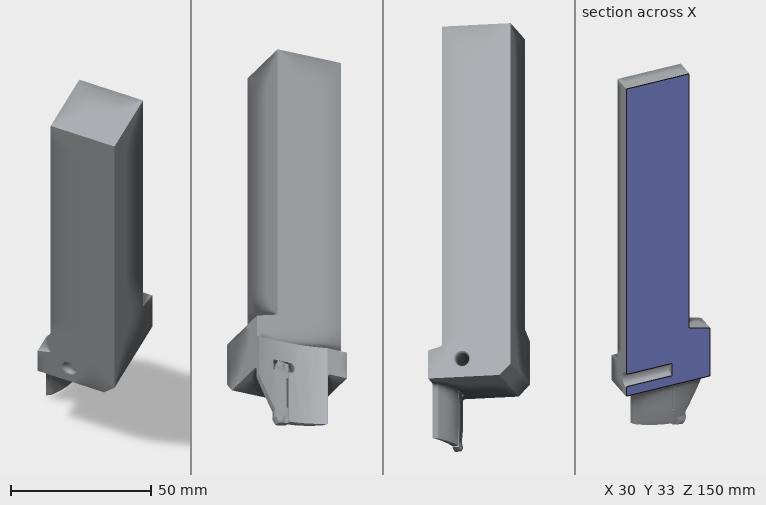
import cadquery as cq
import math

total_height = 150.0
width_x = 30.0
depth_y = 33.0
shank_size = 24.9
shank_left = width_x - shank_size

head_bottom = 21.1
shoulder_angle = math.radians(15)
side_shoulder_low = 31.5
back_shoulder_low = 41.4
shoulder_fillet = 1.2
corner_chamfer = 4.0

screw_x = 12.3
screw_z = 27.7
screw_diameter = 5.0
screw_chamfer = 0.5
screw_depth = 18.0

blade_front = 7.5
blade_bottom = 1.2
blade_front_width = 1.8
blade_front_slant = 1.2
blade_apex_y = 24.7
concave_apex_x = 4.5
convex_apex_x = 6.9
concave_radius = 34.5
convex_rise = convex_apex_x - blade_front_width
convex_run = blade_apex_y - blade_front - blade_front_slant
convex_radius = (convex_rise ** 2 + convex_run ** 2) / (2 * convex_rise)
root_fillet = 0.9
bevel_top = 17.1
bevel_angle = math.radians(60)

insert_length = 24.9
insert_bottom_y = 20.8
insert_top_y = 26.1
tip_y = 24.9
tip_setback = 0.7
rake_length = 2.5
insert_left = 4.5
insert_right = 6.7
cutting_left = 4.0
cutting_right = 7.2
cutting_length = 3.5
cutting_full_length = 2.0
corner_width = 0.5
corner_length = 0.9
cutting_taper_top = 23.5
cutting_taper_bottom = 22.3
groove_start = 6.7
groove_end = 18.5
groove_height = 0.9
groove_depth = 0.7

seat_hole_radius = 2.0
seat_hole_y = 20.5
seat_hole_z = 22.8
tip_relief_height = 0.7
tip_relief_bottom = 20.8


def arc_x(apex_x, radius, y):
    """X of a blade arc at y; the arc reaches apex_x at blade_apex_y."""
    return apex_x - radius + math.sqrt(radius ** 2 - (y - blade_apex_y) ** 2)


def arc_y(apex_x, radius, x):
    """Y of the front crossing of a blade arc with the plane at x."""
    return blade_apex_y - math.sqrt(radius ** 2 - (x - apex_x + radius) ** 2)


def extrude_along_x(sketch_points, x_start, x_end):
    """Prism with a (y, z) outline between two X planes."""
    return (
        cq.Workplane("YZ", origin=(x_start, 0, 0))
        .polyline(sketch_points)
        .close()
        .extrude(x_end - x_start)
    )


def make_shank_and_head():
    side_shoulder_high = side_shoulder_low + shank_left * math.tan(shoulder_angle)
    front_outline = [
        (0, head_bottom),
        (width_x - corner_chamfer, head_bottom),
        (width_x, head_bottom + corner_chamfer),
        (width_x, total_height),
        (shank_left, total_height),
        (shank_left, side_shoulder_high),
        (0, side_shoulder_low),
    ]
    body = cq.Workplane("XZ").polyline(front_outline).close().extrude(-depth_y)
    body = body.edges(
        cq.selectors.NearestToPointSelector((shank_left, depth_y / 2, side_shoulder_high))
    ).fillet(shoulder_fillet)

    back_shoulder_high = back_shoulder_low + (depth_y - shank_size) * math.tan(shoulder_angle)
    behind_shank = [
        (depth_y, back_shoulder_low),
        (depth_y, total_height),
        (shank_size, total_height),
        (shank_size, back_shoulder_high),
    ]
    return body.cut(extrude_along_x(behind_shank, 0, width_x))


def add_blade(body):
    middle_y = (blade_front + depth_y) / 2
    blade = (
        cq.Workplane("XY", origin=(0, 0, blade_bottom))
        .moveTo(0, blade_front)
        .lineTo(blade_front_width, blade_front + blade_front_slant)
        .threePointArc(
            (arc_x(convex_apex_x, convex_radius, middle_y), middle_y),
            (arc_x(convex_apex_x, convex_radius, depth_y), depth_y),
        )
        .lineTo(0, depth_y)
        .close()
        .extrude(head_bottom - blade_bottom)
    )
    body = body.union(blade)
    box_margin = 0.1
    root_edges = cq.selectors.BoxSelector(
        (box_margin, blade_front - box_margin, head_bottom - box_margin),
        (convex_apex_x + box_margin, depth_y - box_margin, head_bottom + box_margin),
    )
    return body.edges(root_edges).fillet(root_fillet)


def cut_concave_side(body):
    start_y = arc_y(concave_apex_x, concave_radius, 0)
    middle_y = (start_y + depth_y) / 2
    hollow = (
        cq.Workplane("XY")
        .moveTo(0, start_y)
        .threePointArc(
            (arc_x(concave_apex_x, concave_radius, middle_y), middle_y),
            (arc_x(concave_apex_x, concave_radius, depth_y), depth_y),
        )
        .lineTo(0, depth_y)
        .close()
        .extrude(back_shoulder_low)
    )
    return body.cut(hollow)


def cut_jaw_bevel(body):
    bevel_width = bevel_top / math.tan(bevel_angle)
    below_jaw = [(depth_y, 0), (depth_y, bevel_top), (depth_y - bevel_width, 0)]
    return body.cut(extrude_along_x(below_jaw, 0, width_x))


def cut_insert_seat(body):
    slot = [
        (insert_bottom_y, 0),
        (insert_top_y, 0),
        (insert_top_y, tip_relief_bottom),
        (insert_top_y + tip_relief_height, tip_relief_bottom),
        (insert_top_y + tip_relief_height, insert_length),
        (insert_bottom_y, insert_length),
    ]
    relief_hole = (
        cq.Workplane("YZ")
        .center(seat_hole_y, seat_hole_z)
        .circle(seat_hole_radius)
        .extrude(cutting_right)
    )
    return body.cut(extrude_along_x(slot, 0, cutting_right)).cut(relief_hole)


def cut_screw_hole(body):
    radius = screw_diameter / 2
    mouth_radius = radius + screw_chamfer
    hole = (
        cq.Workplane("XY")
        .polyline(
            [
                (0, 0),
                (mouth_radius, 0),
                (radius, screw_chamfer),
                (radius, screw_depth),
                (0, screw_depth),
            ]
        )
        .close()
        .revolve(360, (0, 0), (0, 1))
        .translate((screw_x, 0, screw_z))
    )
    return body.cut(hole)


def make_holder():
    body = add_blade(make_shank_and_head())
    body = cut_concave_side(body)
    body = cut_jaw_bevel(body)
    body = cut_insert_seat(body)
    return cut_screw_hole(body)


def make_cutting_end_envelope():
    """Wide end around the lower tip, tapering to the insert body upward and toward its lower edge."""
    across = (
        cq.Workplane("XY")
        .polyline(
            [
                (insert_left, cutting_taper_bottom),
                (insert_right, cutting_taper_bottom),
                (cutting_right, cutting_taper_top),
                (cutting_right, insert_top_y),
                (cutting_left, insert_top_y),
                (cutting_left, cutting_taper_top),
            ]
        )
        .close()
        .extrude(cutting_length)
    )
    along = (
        cq.Workplane("XZ")
        .polyline(
            [
                (cutting_left + corner_width, 0),
                (cutting_right - corner_width, 0),
                (cutting_right, corner_length),
                (cutting_right, cutting_full_length),
                (insert_right, cutting_length),
                (insert_left, cutting_length),
                (cutting_left, cutting_full_length),
                (cutting_left, corner_length),
            ]
        )
        .close()
        .extrude(-insert_top_y)
    )
    return across.intersect(along)


def make_side_groove(side_x, inward):
    """Beveled groove along a lower edge of the insert; inward is the X direction to its middle."""
    return (
        cq.Workplane("XY", origin=(0, 0, groove_start))
        .polyline(
            [
                (side_x, insert_bottom_y),
                (side_x + inward * groove_depth, insert_bottom_y),
                (side_x, insert_bottom_y + groove_height),
            ]
        )
        .close()
        .extrude(groove_end - groove_start)
    )


def make_insert():
    side_outline = [
        (insert_bottom_y, tip_setback),
        (tip_y, 0),
        (insert_top_y, rake_length),
        (insert_top_y, insert_length - rake_length),
        (tip_y, insert_length),
        (insert_bottom_y, insert_length - tip_setback),
    ]
    body = extrude_along_x(side_outline, insert_left, insert_right)
    wide_blank = extrude_along_x(side_outline, cutting_left, cutting_right)
    lower_end = wide_blank.intersect(make_cutting_end_envelope())
    upper_end = lower_end.mirror("XY").translate((0, 0, insert_length))
    body = body.union(lower_end).union(upper_end)
    for side_x, inward in ((insert_left, 1), (insert_right, -1)):
        body = body.cut(make_side_groove(side_x, inward))
    return body


holder = make_holder()
insert = make_insert()
result = cq.Compound.makeCompound([holder.val(), insert.val()])